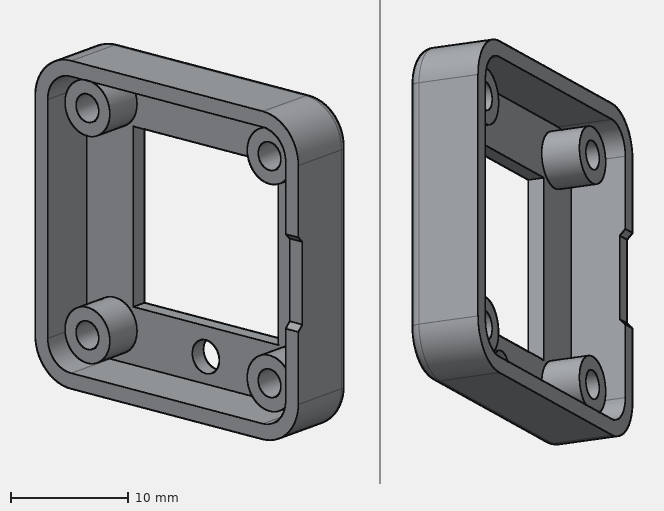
import cadquery as cq

side = 29.4
depth = 6.65
corner_radius = 4.0
wall = 1.4
floor = 1.5
edge_fillet = 1.0

window_side = 16.17
small_hole_diameter = 3.0
small_hole_drop = 10.85

boss_spacing = 20.35
boss_diameter = 5.0
boss_hole_diameter = 2.53
boss_height = 3.6

notch_bottom_length = 7.4
notch_depth = 0.53

floor_y = depth - floor


def prism(sketch, start_y, length):
    """Extrude a sketch of the XZ plane toward +Y from start_y."""
    plane = cq.Workplane("XZ", origin=(0, start_y, 0))
    return plane.placeSketch(sketch).extrude(-length)


def rounded_square(size, radius):
    return cq.Sketch().rect(size, size).vertices().fillet(radius)


def make_shell():
    body = prism(rounded_square(side, corner_radius), 0, depth)
    body = body.faces(">Y").edges().fillet(edge_fillet)
    cavity = rounded_square(side - 2 * wall, corner_radius - wall)
    return body.cut(prism(cavity, 0, floor_y))


def at_bosses(diameter, start_y, length):
    circles = cq.Sketch().rarray(boss_spacing, boss_spacing, 2, 2).circle(diameter / 2)
    return prism(circles, start_y, length)


def make_floor_openings():
    window = prism(cq.Sketch().rect(window_side, window_side), 0, depth)
    small_hole = prism(cq.Sketch().push([(0, -small_hole_drop)]).circle(small_hole_diameter / 2), 0, depth)
    return window.union(small_hole)


def make_notch():
    half_bottom = notch_bottom_length / 2
    half_top = half_bottom + notch_depth
    profile = [
        (0, -half_top),
        (notch_depth, -half_bottom),
        (notch_depth, half_bottom),
        (0, half_top),
    ]
    plane = cq.Workplane("YZ", origin=(side / 2 - wall, 0, 0))
    return plane.polyline(profile).close().extrude(wall)


result = (
    make_shell()
    .union(at_bosses(boss_diameter, floor_y - boss_height, boss_height))
    .cut(at_bosses(boss_hole_diameter, 0, depth))
    .cut(make_floor_openings())
    .cut(make_notch())
)